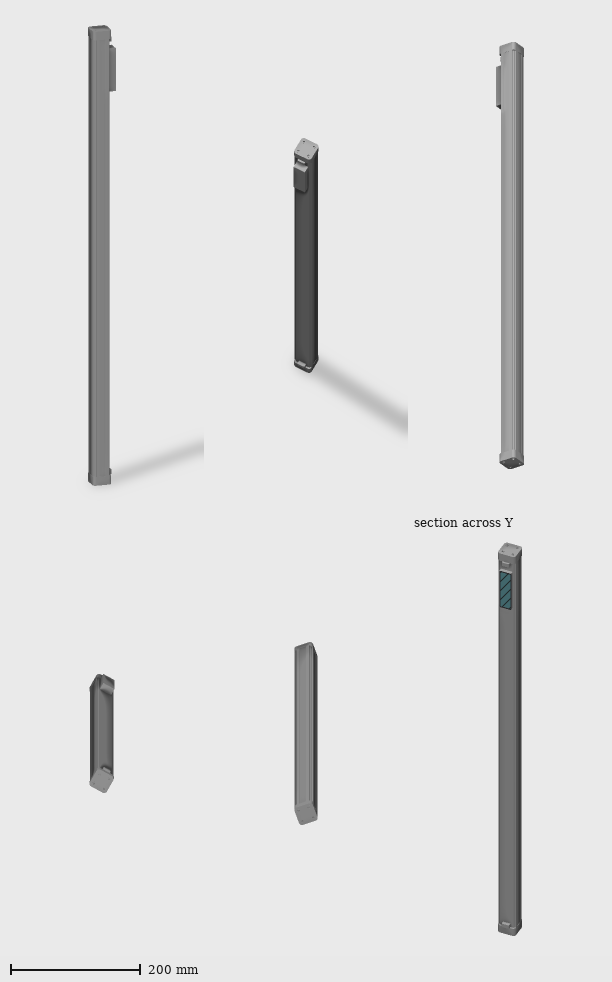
import cadquery as cq

LENGTH = 731.0
SIDE = 30.0
CENTRE_Y = SIDE / 2
HALF = SIDE / 2
CORNER_RADIUS = 4.75

HEAD_HEIGHT = 0.4
HEAD_DIAMETER = 5.5
SOCKET_DIAMETER = 3.2
SOCKET_DEPTH = 2.0
SCREW_OFFSET = 9.0

END_HEIGHT = 14.0
SPAN_BOTTOM = HEAD_HEIGHT + END_HEIGHT
SPAN_TOP = LENGTH - SPAN_BOTTOM
SPAN_RANGE = (SPAN_BOTTOM, SPAN_TOP)
SPAN_LENGTH = SPAN_TOP - SPAN_BOTTOM
BACK_Y = 27.0
COLUMN_DIAMETER = 4.75
GROOVE_MOUTH = 10.0
GROOVE_TAPER = 0.45
GROOVE_DEPTH = 1.0

BLOCK_WIDTH = 20.0
BLOCK_BOTTOM = 631.0
BLOCK_TOP = 699.5
BLOCK_BACK_Y = 38.0

LUG_WIDTH = 12.5
LUG_HEIGHT = 6.5
LUG_TIP_Y = 33.0
LUG_CORNER_RADIUS = 1.5


def box(x_range, y_range, z_range):
    """Box between two limits along each axis."""
    sizes = [high - low for low, high in (x_range, y_range, z_range)]
    corner = (x_range[0], y_range[0], z_range[0])
    return cq.Workplane("XY").box(*sizes, centered=False).translate(corner)


def corner_points(offset):
    """Four points on the diagonals of the square section."""
    return [(sx * offset, CENTRE_Y + sy * offset) for sx in (-1, 1) for sy in (-1, 1)]


def cylinders(points, diameter, z_range):
    """Upright cylinders at the given points."""
    bottom, top = z_range
    plane = cq.Workplane("XY", origin=(0, 0, bottom))
    return plane.pushPoints(points).circle(diameter / 2).extrude(top - bottom)


def make_bar():
    """Square bar with rounded upright edges, up to the undersides of the screw heads."""
    end_faces = (HEAD_HEIGHT, LENGTH - HEAD_HEIGHT)
    return box((-HALF, HALF), (0, SIDE), end_faces).edges("|Z").fillet(CORNER_RADIUS)


def make_corner_reliefs():
    """Square notches along the four corners, each leaving a slender round column standing."""
    arm = HALF - CORNER_RADIUS
    whole = box((-HALF, HALF), (0, SIDE), SPAN_RANGE)
    upright = box((-arm, arm), (0, SIDE), SPAN_RANGE)
    crossbar = box((-HALF, HALF), (CENTRE_Y - arm, CENTRE_Y + arm), SPAN_RANGE)
    columns = cylinders(corner_points(arm), COLUMN_DIAMETER, SPAN_RANGE)
    return whole.cut(upright).cut(crossbar).cut(columns)


def make_groove():
    """Tapered groove cutter along the middle of the front (Y = 0) face."""
    half_mouth = GROOVE_MOUTH / 2
    half_floor = half_mouth - GROOVE_TAPER
    return (
        cq.Workplane("XY", origin=(0, 0, SPAN_BOTTOM))
        .polyline([
            (-half_mouth, 0),
            (half_mouth, 0),
            (half_floor, GROOVE_DEPTH),
            (-half_floor, GROOVE_DEPTH),
        ])
        .close()
        .extrude(SPAN_LENGTH)
    )


def add_screw_heads(housing):
    """Four round socket heads on each end of the housing."""
    points = corner_points(SCREW_OFFSET)
    ends = (
        ((0, HEAD_HEIGHT), (0, SOCKET_DEPTH)),
        ((LENGTH - HEAD_HEIGHT, LENGTH), (LENGTH - SOCKET_DEPTH, LENGTH)),
    )
    for head_range, socket_range in ends:
        housing = housing.union(cylinders(points, HEAD_DIAMETER, head_range))
        housing = housing.cut(cylinders(points, SOCKET_DIAMETER, socket_range))
    return housing


def make_housing():
    """Bar relieved between its solid ends, with the connector block and the screw heads."""
    housing = make_bar()
    housing = housing.cut(make_corner_reliefs())
    housing = housing.cut(box((-HALF, HALF), (BACK_Y, SIDE), SPAN_RANGE))

    for angle in (-90, 0, 90):
        housing = housing.cut(make_groove().rotate((0, CENTRE_Y, 0), (0, CENTRE_Y, 1), angle))

    half_block = BLOCK_WIDTH / 2
    block = box((-half_block, half_block), (BACK_Y, BLOCK_BACK_Y), (BLOCK_BOTTOM, BLOCK_TOP))
    return add_screw_heads(housing.union(block))


def make_lug(bottom):
    """Flat lug with rounded outer corners, standing on the back of the housing."""
    half_lug = LUG_WIDTH / 2
    lug = box((-half_lug, half_lug), (BACK_Y, LUG_TIP_Y), (bottom, bottom + LUG_HEIGHT))
    return lug.edges("|Z and >Y").fillet(LUG_CORNER_RADIUS)


housing = make_housing()
lugs = [make_lug(bottom) for bottom in (SPAN_BOTTOM, SPAN_TOP - LUG_HEIGHT)]

result = cq.Compound.makeCompound([housing.val(), *[lug.val() for lug in lugs]])